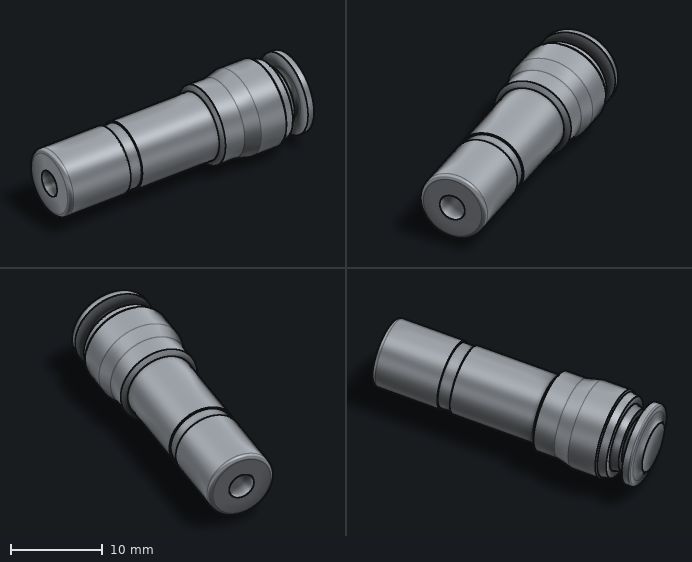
import cadquery as cq
import math


length = 32.1
stem_end = -length / 2
collet_end = length / 2

stem_radius = 4.0
stem_fillet = 0.48
groove_radius = 3.82
groove_width = 1.55
groove_start = stem_end + 7.95
bore_radius = 1.5
bore_depth = 16.05

collar_radius = 4.7
collar_chamfer_length = 0.4
collar_length = 2.85
collar_start = collet_end - 12.58
collar_end = collar_start + collar_length
body_radius = 5.152
body_taper_length = 1.85
body_start = collar_end + body_taper_length
body_length = 3.3
body_end = body_start + body_length

cone_length = 0.95
body_edge_length = 0.15
lower_cone_start = body_end + body_edge_length
upper_cone_start = lower_cone_start + cone_length
neck_start = upper_cone_start + cone_length
lower_cone_base_radius = 4.95
lower_cone_top_radius = 4.72
upper_cone_base_radius = 3.9
upper_cone_top_radius = 3.6

neck_radius = 2.8
flange_radius = 4.8
flange_thickness = 0.9
flange_rim_fillet = 0.2
flange_start = collet_end - 1.5
flange_end = flange_start + flange_thickness
neck_fillet = 0.45
cap_base_radius = 3.98
cap_top_radius = 2.85
cap_height = collet_end - flange_end
cap_flare = cap_base_radius - cap_top_radius
cap_arc_radius = (cap_flare**2 + cap_height**2) / (2 * cap_height)
cap_arc_angle = math.asin(cap_flare / cap_arc_radius)
cap_mid_radius = cap_base_radius - cap_arc_radius * math.sin(cap_arc_angle / 2)
cap_mid_y = flange_end + cap_arc_radius * (1 - math.cos(cap_arc_angle / 2))

tolerance = 0.003


def make_stem():
    """Plain cylinder with a rounded free end and a shallow groove."""
    stem = (
        cq.Workplane("XZ", origin=(0, stem_end, 0))
        .circle(stem_radius)
        .extrude(stem_end - collar_start)
        .faces("<Y")
        .edges()
        .fillet(stem_fillet)
    )
    groove = (
        cq.Workplane("XZ", origin=(0, groove_start, 0))
        .circle(stem_radius)
        .circle(groove_radius)
        .extrude(-groove_width)
    )
    return stem.cut(groove)


def make_sleeve():
    """Chamfered collar, tapered body and the two stepped cones."""
    return (
        cq.Workplane("XY")
        .moveTo(0, collar_start)
        .lineTo(stem_radius, collar_start)
        .lineTo(collar_radius, collar_start + collar_chamfer_length)
        .lineTo(collar_radius, collar_end)
        .lineTo(body_radius, body_start)
        .lineTo(body_radius, body_end)
        .lineTo(lower_cone_base_radius, lower_cone_start)
        .lineTo(lower_cone_top_radius, upper_cone_start)
        .lineTo(upper_cone_base_radius, upper_cone_start)
        .lineTo(upper_cone_top_radius, neck_start)
        .lineTo(0, neck_start)
        .close()
        .revolve(360, (0, 0, 0), (0, 1, 0))
    )


def fillet_circle(solid, circle_radius, y, fillet_radius):
    """Round the circular edge of the given radius at height y."""
    circle_edge = solid.edges("%CIRCLE").filter(
        lambda edge: abs(edge.radius() - circle_radius) < tolerance and abs(edge.Center().y - y) < tolerance
    )
    return circle_edge.fillet(fillet_radius)


def make_collet():
    """Neck flaring into the release flange, capped by a concave taper."""
    collet = (
        cq.Workplane("XY")
        .moveTo(0, neck_start)
        .lineTo(neck_radius, neck_start)
        .lineTo(neck_radius, flange_start)
        .lineTo(flange_radius, flange_start)
        .lineTo(flange_radius, flange_end)
        .lineTo(cap_base_radius, flange_end)
        .threePointArc((cap_mid_radius, cap_mid_y), (cap_top_radius, collet_end))
        .lineTo(0, collet_end)
        .close()
        .revolve(360, (0, 0, 0), (0, 1, 0))
    )
    collet = fillet_circle(collet, neck_radius, flange_start, neck_fillet)
    return fillet_circle(collet, flange_radius, flange_end, flange_rim_fillet)


bore = cq.Workplane("XZ", origin=(0, stem_end, 0)).circle(bore_radius).extrude(-bore_depth)

result = make_stem().union(make_sleeve()).union(make_collet()).cut(bore)